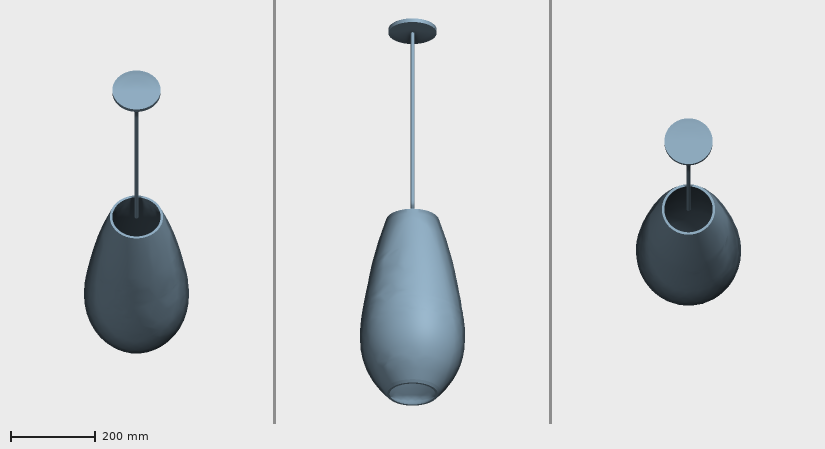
import cadquery as cq

total_height = 971.0

plate_radius = 57.0
plate_thickness = 10.0

rod_radius = 4.4

shade_height = 461.0
wall = 6.0
bottom_radius = 60.0
lip_height = 6.0
lip_flare = 6.0
belly_diameter = 250.0
belly_height = 153.0
rim_radius = 63.0

shade_profile = [
    (bottom_radius + lip_flare, lip_height),
    (94.0, 42.0),
    (117.0, 89.0),
    (belly_diameter / 2, belly_height),
    (114.0, 252.0),
    (93.0, 358.0),
    (rim_radius, shade_height),
]


def make_plate():
    """Flat disc at the top of the pendant."""
    underside = total_height - plate_thickness
    return cq.Workplane("XY", origin=(0, 0, underside)).circle(plate_radius).extrude(plate_thickness)


def make_rod():
    """Thin rod from the underside of the plate down to the rim level."""
    length = total_height - plate_thickness - shade_height
    return cq.Workplane("XY", origin=(0, 0, shade_height)).circle(rod_radius).extrude(length)


def make_shade():
    """Egg-shaped shell, open at both ends, with a bevelled bottom lip, revolved about the Z axis."""
    inner_profile = [(radius - wall, height) for radius, height in shade_profile]
    inner_downward = inner_profile[::-1]
    return (
        cq.Workplane("XZ")
        .moveTo(bottom_radius, 0)
        .lineTo(*shade_profile[0])
        .spline(shade_profile[1:], includeCurrent=True)
        .lineTo(*inner_downward[0])
        .spline(inner_downward[1:], includeCurrent=True)
        .lineTo(bottom_radius - wall, 0)
        .close()
        .revolve(360, (0, 0, 0), (0, 1, 0))
    )


plate = make_plate()
rod = make_rod()
shade = make_shade()

result = cq.Compound.makeCompound([plate.val(), rod.val(), shade.val()])